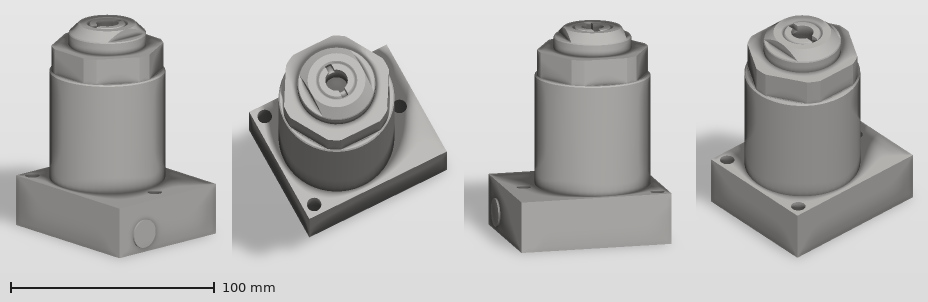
import cadquery as cq
import math

BASE_LENGTH = 76.2
BASE_WIDTH = 63.5
BASE_HEIGHT = 25.4
HOLE_DIAMETER = 7.1
HOLE_INSET = 5.6
END_HOLE_X = 66.7

PLUG_RADIUS = 7.1
PLUG_LENGTH = 1.0
PLUG_Y = -15.8
PLUG_Z = 9.6

AXIS_X = BASE_WIDTH / 2
TOTAL_HEIGHT = 104.3
BODY_TOP = 80.7
NUT_TOP = 93.5

BODY_RADIUS = 28.5
BODY_CHAMFER = 0.6

NUT_APOTHEM = 25.3
NUT_CORNER_RADIUS = 27.5
FOOT_APOTHEM = 25.9
FOOT_HEIGHT = 0.1

COLLAR_RADIUS = 19.1
COLLAR_TOP = 99.9
COLLAR_BEVEL_HEIGHT = 0.6
CONE_BASE_RADIUS = 18.8
CONE_TOP_RADIUS = 14.2
KNOB_FLAT_OFFSET = CONE_TOP_RADIUS

SCREW_RADIUS = 9.4
GROOVE_SIZE = 0.8
BORE_RADIUS = 5.5
BORE_DEPTH = 10.4
SLOT_WIDTH = 3.3
SLOT_DEPTH = 3.3


def disc(radius, bottom, top):
    """Cylinder on the turret axis between two levels."""
    plane = cq.Workplane("XY", origin=(AXIS_X, 0, bottom))
    return plane.circle(radius).extrude(top - bottom)


def frustum(bottom_radius, top_radius, bottom, top):
    """Truncated cone on the turret axis between two levels."""
    base_centre = cq.Vector(AXIS_X, 0, bottom)
    return cq.Workplane(cq.Solid.makeCone(bottom_radius, top_radius, top - bottom, base_centre))


def hexagon(apothem, corner_radius, bottom, top):
    """Hexagonal prism, flats facing +/-Y, with its corners turned round."""
    corner_diameter = 2 * apothem / math.cos(math.radians(30))
    plane = cq.Workplane("XY", origin=(AXIS_X, 0, bottom))
    prism = plane.polygon(6, corner_diameter).extrude(top - bottom)
    return prism.intersect(disc(corner_radius, bottom, top))


def make_base():
    block = cq.Workplane("XY").box(BASE_LENGTH, BASE_WIDTH, BASE_HEIGHT, centered=(False, True, False))
    hole_y = BASE_WIDTH / 2 - HOLE_INSET
    hole_points = [(HOLE_INSET, hole_y), (HOLE_INSET, -hole_y), (END_HOLE_X, 0)]
    holes = cq.Workplane("XY").pushPoints(hole_points).circle(HOLE_DIAMETER / 2).extrude(BASE_HEIGHT)
    plug_plane = cq.Workplane("YZ", origin=(BASE_LENGTH, PLUG_Y, PLUG_Z))
    plug = plug_plane.circle(PLUG_RADIUS).extrude(PLUG_LENGTH)
    return block.cut(holes).union(plug)


def make_body():
    return disc(BODY_RADIUS, BASE_HEIGHT, BODY_TOP).faces(">Z").chamfer(BODY_CHAMFER)


def make_nut():
    foot_top = BODY_TOP + FOOT_HEIGHT
    foot = hexagon(FOOT_APOTHEM, NUT_CORNER_RADIUS, BODY_TOP, foot_top)
    return foot.union(hexagon(NUT_APOTHEM, NUT_CORNER_RADIUS, foot_top, NUT_TOP))


def make_knob():
    bevel_bottom = COLLAR_TOP - COLLAR_BEVEL_HEIGHT
    collar = disc(COLLAR_RADIUS, NUT_TOP, bevel_bottom)
    bevel = frustum(COLLAR_RADIUS, CONE_BASE_RADIUS, bevel_bottom, COLLAR_TOP)
    cone = frustum(CONE_BASE_RADIUS, CONE_TOP_RADIUS, COLLAR_TOP, TOTAL_HEIGHT)
    between_flats = cq.Workplane("XY", origin=(AXIS_X, 0, COLLAR_TOP)).box(
        2 * KNOB_FLAT_OFFSET, 2 * COLLAR_RADIUS, TOTAL_HEIGHT - COLLAR_TOP, centered=(True, True, False)
    )
    return collar.union(bevel).union(cone.intersect(between_flats))


def make_screw_recess():
    groove = (
        cq.Workplane("XZ", origin=(AXIS_X, 0, TOTAL_HEIGHT))
        .moveTo(SCREW_RADIUS - GROOVE_SIZE, 0)
        .lineTo(SCREW_RADIUS, -GROOVE_SIZE)
        .lineTo(SCREW_RADIUS + GROOVE_SIZE, 0)
        .close()
        .revolve(360, (0, 0), (0, 1))
    )
    bore = disc(BORE_RADIUS, TOTAL_HEIGHT - BORE_DEPTH, TOTAL_HEIGHT)
    slot_floor = TOTAL_HEIGHT - SLOT_DEPTH
    slot = (
        cq.Workplane("XY", origin=(AXIS_X, 0, slot_floor))
        .rect(SLOT_WIDTH, 2 * SCREW_RADIUS)
        .extrude(SLOT_DEPTH)
        .intersect(disc(SCREW_RADIUS, slot_floor, TOTAL_HEIGHT))
    )
    return groove.union(bore).union(slot)


turret = make_body().union(make_nut()).union(make_knob()).cut(make_screw_recess())
result = make_base().union(turret)